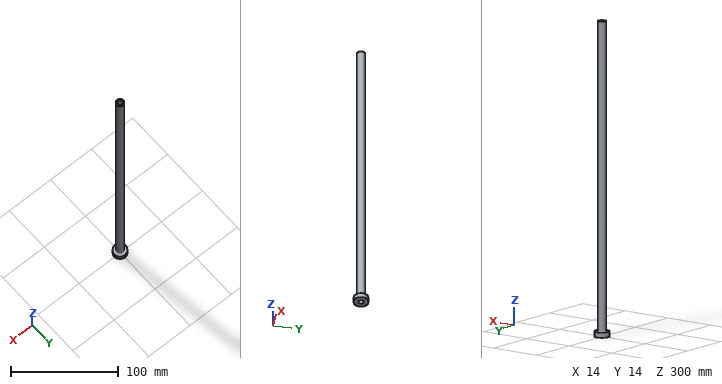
import cadquery as cq

total_length = 300.0
head_diameter = 14.0
head_height = 5.0
tube_diameter = 8.0
bore_diameter = 5.0
neck_fillet_radius = 0.5

tube_radius = tube_diameter / 2
fillet_outer_radius = tube_radius + neck_fillet_radius
fillet_top = head_height + neck_fillet_radius


def make_sleeve_body():
    """Flanged head and long tube, joined by a concave fillet at the neck."""
    profile = (
        cq.Workplane("XZ")
        .lineTo(head_diameter / 2, 0)
        .lineTo(head_diameter / 2, head_height)
        .lineTo(fillet_outer_radius, head_height)
        .radiusArc((tube_radius, fillet_top), neck_fillet_radius)
        .lineTo(tube_radius, total_length)
        .lineTo(0, total_length)
        .close()
    )
    return profile.revolve(360, (0, 0, 0), (0, 1, 0))


def cut_bore(body):
    """Straight through bore along the sleeve axis."""
    bore = cq.Workplane("XY").circle(bore_diameter / 2).extrude(total_length)
    return body.cut(bore)


result = cut_bore(make_sleeve_body())